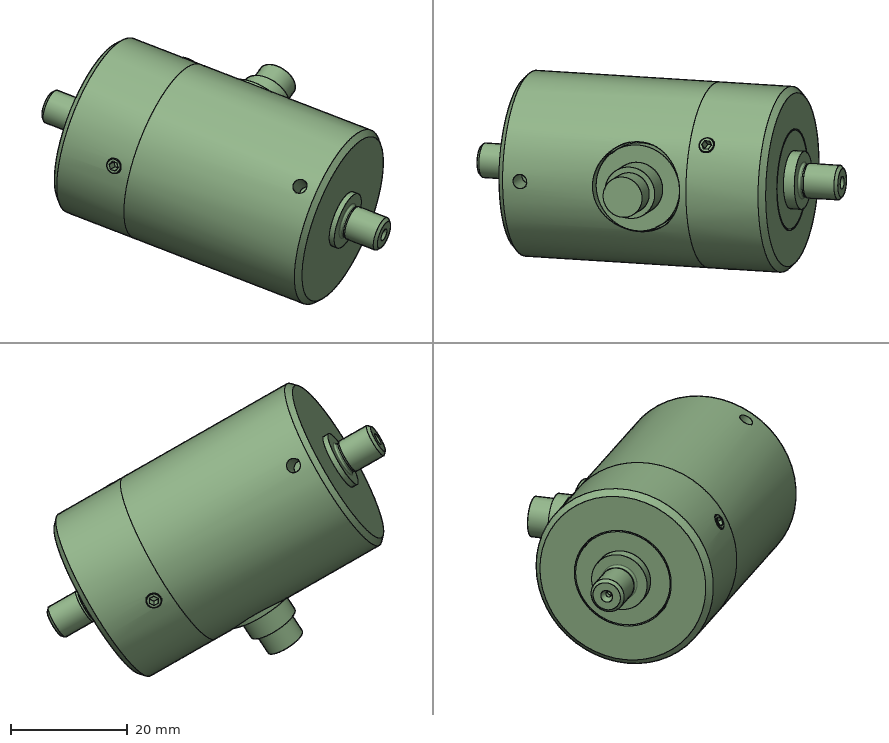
import cadquery as cq
import math


CASE_DIA = 32.0
CASE_RADIUS = CASE_DIA / 2
CAP_CHAMFER = 1.05
HOUSING_CHAMFER = 1.0
CAP_LENGTH = 14.05
HOUSING_LENGTH = 34.0
CAP_LEFT = 9.0
JOINT_X = CAP_LEFT + CAP_LENGTH
CASE_RIGHT = JOINT_X + HOUSING_LENGTH

SHAFT_LENGTH = 65
JOURNAL_DIA = 10.0
JOURNAL_LEFT = 7.0
JOURNAL_RIGHT = SHAFT_LENGTH - JOURNAL_LEFT
SHAFT_DIA = 6.0
SHAFT_CHAMFER = 0.5
UNDERCUT_DIA = 5.6
UNDERCUT_LENGTH = 0.65
UNDERCUT_FILLET = 0.4
UNDERCUT_TAPER = 0.3
CENTRE_MOUTH_DIA = 2.15
CENTRE_PILOT_DIA = 1.0
CENTRE_PILOT_LENGTH = 1.0
CENTRE_HALF_ANGLE = math.radians(30)
PILOT_TIP_HALF_ANGLE = math.radians(60)

COVER_DIA = 17.0
COVER_RECESS_DIA = 17.5
COVER_THICKNESS = 2.0

SCREW_DIA = 2.5
SCREW_HOLE_DIA = 2.7
SCREW_LENGTH = 4.0
SCREW_PROTRUSION = 0.1
SCREW_X = 19.95
SCREW_ANGLES = (30, 150, 270)
SOCKET_FLATS = 1.5
SOCKET_DEPTH = 2.0
SOCKET_TURN = 30

RADIAL_HOLE_DIA = 2.5
RADIAL_HOLE_DEPTH = 5.0
RADIAL_HOLE_X = 52.9
RADIAL_HOLE_ANGLES = (60, 180, 300)

CONNECTOR_X = 32.0
POCKET_DIA = 15.7
POCKET_FLOOR_Y = 13.0
BASE_DIA = 15.0
BASE_TOP_Y = 15.0
BARREL_DIA = 9.0
BARREL_TOP_Y = 19.5
PLUG_DIA = 7.0
PLUG_TOP_Y = 23.5


def x_cylinder(diameter, x_start, x_end):
    """Cylinder on the X axis."""
    return cq.Workplane("YZ").workplane(offset=x_start).circle(diameter / 2).extrude(x_end - x_start)


def y_cylinder(diameter, y_start, y_end):
    """Cylinder on the connector axis, parallel to Y."""
    plane = cq.Plane(origin=(CONNECTOR_X, y_start, 0), xDir=(1, 0, 0), normal=(0, 1, 0))
    return cq.Workplane(plane).circle(diameter / 2).extrude(y_end - y_start)


def inward_plane(x, angle, radius):
    """Plane at the given radius whose normal points at the X axis; angles run from -Y towards +Z."""
    y = -math.cos(math.radians(angle))
    z = math.sin(math.radians(angle))
    return cq.Plane(origin=(x, radius * y, radius * z), xDir=(1, 0, 0), normal=(0, -y, -z))


def make_shaft_end(journal_face):
    """Shaft end from its tip at X = 0 to the journal face, with chamfer, undercut and centre hole."""
    shaft_radius = SHAFT_DIA / 2
    undercut_radius = UNDERCUT_DIA / 2
    undercut_start = journal_face - UNDERCUT_LENGTH
    fillet_start = journal_face - UNDERCUT_FILLET
    fillet_top = undercut_radius + UNDERCUT_FILLET
    fillet_middle = UNDERCUT_FILLET * math.sqrt(0.5)

    mouth_radius = CENTRE_MOUTH_DIA / 2
    pilot_radius = CENTRE_PILOT_DIA / 2
    cone_end = (mouth_radius - pilot_radius) / math.tan(CENTRE_HALF_ANGLE)
    pilot_end = cone_end + CENTRE_PILOT_LENGTH
    pilot_tip = pilot_end + pilot_radius / math.tan(PILOT_TIP_HALF_ANGLE)

    return (
        cq.Workplane("XY")
        .moveTo(0, mouth_radius)
        .lineTo(0, shaft_radius - SHAFT_CHAMFER)
        .lineTo(SHAFT_CHAMFER, shaft_radius)
        .lineTo(undercut_start - UNDERCUT_TAPER, shaft_radius)
        .lineTo(undercut_start, undercut_radius)
        .lineTo(fillet_start, undercut_radius)
        .threePointArc(
            (fillet_start + fillet_middle, fillet_top - fillet_middle),
            (journal_face, fillet_top),
        )
        .lineTo(journal_face, 0)
        .lineTo(pilot_tip, 0)
        .lineTo(pilot_end, pilot_radius)
        .lineTo(cone_end, pilot_radius)
        .close()
        .revolve(360, (0, 0, 0), (1, 0, 0))
    )


def make_shaft():
    """One-piece shaft: a journal with the same end on both sides."""
    left_end = make_shaft_end(JOURNAL_LEFT)
    right_end = left_end.mirror("YZ").translate((SHAFT_LENGTH, 0, 0))
    return x_cylinder(JOURNAL_DIA, JOURNAL_LEFT, JOURNAL_RIGHT).union(left_end).union(right_end)


def make_cap():
    """Left part of the case, with the bearing cover recess and the set screw holes."""
    cap = x_cylinder(CASE_DIA, CAP_LEFT, JOINT_X).faces("<X").chamfer(CAP_CHAMFER)
    cap = cap.cut(x_cylinder(JOURNAL_DIA, CAP_LEFT, JOINT_X))
    cap = cap.cut(x_cylinder(COVER_RECESS_DIA, CAP_LEFT, CAP_LEFT + COVER_THICKNESS))
    for angle in SCREW_ANGLES:
        cap = cap.cut(make_screw_cylinder(SCREW_HOLE_DIA, angle))
    return cap


def make_housing():
    """Right part of the case, with the connector pocket and three open radial holes."""
    housing = x_cylinder(CASE_DIA, JOINT_X, CASE_RIGHT).faces(">X").chamfer(HOUSING_CHAMFER)
    housing = housing.cut(x_cylinder(JOURNAL_DIA, JOINT_X, CASE_RIGHT))
    housing = housing.cut(y_cylinder(POCKET_DIA, POCKET_FLOOR_Y, CASE_RADIUS))
    for angle in RADIAL_HOLE_ANGLES:
        plane = inward_plane(RADIAL_HOLE_X, angle, CASE_RADIUS)
        hole = cq.Workplane(plane).circle(RADIAL_HOLE_DIA / 2).extrude(RADIAL_HOLE_DEPTH)
        housing = housing.cut(hole)
    return housing


def make_bearing_cover():
    """Ring around the journal, separated from the cap by a narrow annular gap."""
    cover_right = CAP_LEFT + COVER_THICKNESS
    return x_cylinder(COVER_DIA, CAP_LEFT, cover_right).cut(x_cylinder(JOURNAL_DIA, CAP_LEFT, cover_right))


def make_screw_cylinder(diameter, angle):
    """Radial cylinder from the outer face of a set screw to its inner end."""
    plane = inward_plane(SCREW_X, angle, CASE_RADIUS + SCREW_PROTRUSION)
    return cq.Workplane(plane).circle(diameter / 2).extrude(SCREW_LENGTH)


def make_set_screw(angle):
    """Set screw with a hexagon socket in its outer face."""
    plane = inward_plane(SCREW_X, angle, CASE_RADIUS + SCREW_PROTRUSION).rotated((0, 0, SOCKET_TURN))
    socket = cq.Workplane(plane).polygon(6, SOCKET_FLATS, circumscribed=True).extrude(SOCKET_DEPTH)
    return make_screw_cylinder(SCREW_DIA, angle).cut(socket)


def make_connector():
    """Stepped round connector standing on the pocket floor."""
    base = y_cylinder(BASE_DIA, POCKET_FLOOR_Y, BASE_TOP_Y)
    barrel = y_cylinder(BARREL_DIA, BASE_TOP_Y, BARREL_TOP_Y)
    plug = y_cylinder(PLUG_DIA, BARREL_TOP_Y, PLUG_TOP_Y)
    return base.union(barrel).union(plug)


shaft = make_shaft()
cap = make_cap()
housing = make_housing()
bearing_cover = make_bearing_cover()
connector = make_connector()
set_screws = [make_set_screw(angle) for angle in SCREW_ANGLES]

result = cq.Compound.makeCompound(
    [
        shaft.val(),
        cap.val(),
        housing.val(),
        bearing_cover.val(),
        connector.val(),
        *[screw.val() for screw in set_screws],
    ]
)